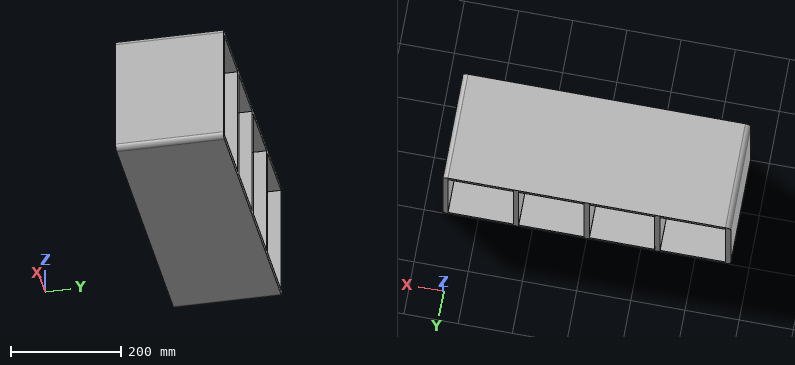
import cadquery as cq

length = 532.0
depth = 200.0
height = 238.0

wall = 10.0
divider = 10.0
corner_radius = 10.0
cell_count = 4

cell_width = (length - 2 * wall - (cell_count - 1) * divider) / cell_count
cell_height = height - 2 * wall
cell_pitch = cell_width + divider


def make_shell():
    """Solid block with its four edges along Y rounded."""
    return cq.Workplane("XY").box(length, depth, height).edges("|Y").fillet(corner_radius)


def make_cell(index):
    """Rectangular opening that passes right through the depth."""
    x_center = (index - (cell_count - 1) / 2) * cell_pitch
    return cq.Workplane("XY").box(cell_width, depth, cell_height).translate((x_center, 0, 0))


result = make_shell()
for cell_index in range(cell_count):
    result = result.cut(make_cell(cell_index))